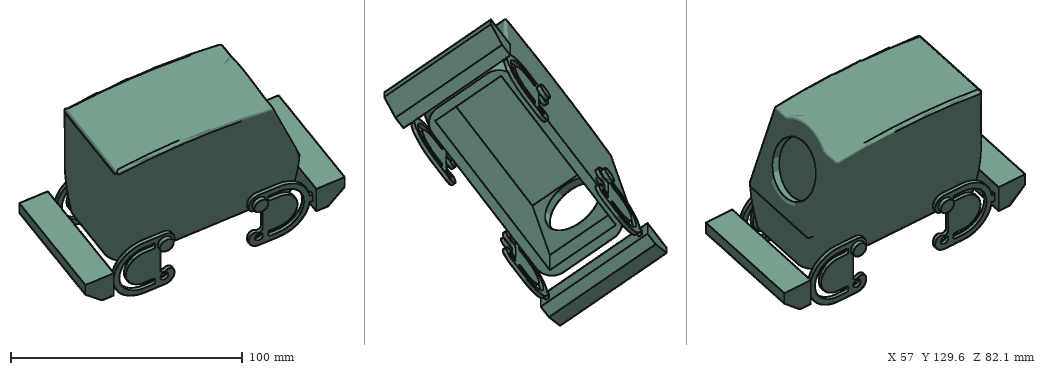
import cadquery as cq
import math


TOP_HALF_WIDTH = 22.8
RIM_HALF_WIDTH = 22.0
BOTTOM_HALF_WIDTH = 21.9
RIM_Z = 6.6
TAPER_Z = 23.5
LOFT_TOP_Z = 64.8
END_Y = 46.5
FRONT_LEAN = 0.5
CORNER_R_TOP = 1.2
CORNER_R_TAPER = 2.1
CORNER_FLARE = 0.01158

CROWN_R = 284.9
CROWN_PEAK_Y = -7.1
CROWN_PEAK_Z = 60.6
EDGE_R = 1.5
FRONT_EDGE_R = 2.0
RIDGE_STEPS = 8
ROOF_OVERHANG = 3.9

WALL = 4.3
CAVITY_Z = 53.7

SLOPE_ANGLE = math.radians(20.5)
ENTRY_Y = 38.7
ENTRY_Z = 40.9
ENTRY_HOLE_R = 14.2
ENTRY_CHAMFER = 1.7
ENTRY_CHAMFER_DEPTH = 0.4
COLLAR_R = 23.2
COLLAR_DEPTH = 11.7
COLLAR_FOOT_R = 1.0
COLLAR_FOOT_Y = 24.6
COLLAR_BASE_Z = 54.4

LEVER_Z = -4.4
LEVER_R = 15.5
LEVER_ARC_Y = 33.5
LEVER_INNER_X = 23.8
LEVER_THICKNESS = 1.8
EYE_Y = 23.6
EYE_R = 5.0
EYE_OFFSET = LEVER_R - EYE_R
EYE_HOLE_R = 2.0
TIP_R = 2.5
TIP_ANGLE = math.radians(29)
NOTCH_R = 1.7
BACK_EDGE_Y = EYE_Y + 2.0
SLOT_OUTER_R = 12.5
SLOT_INNER_R = 9.3
SLOT_END_Y = 28.2
SLOT_END_R = 1.0
PIN_R = 2.0
PIN_START_X = 20.1
PIN_HEAD_R = 3.5
PIN_HEAD_X = 27.7

HANDLE_WIDTH = 57.0
HANDLE_OUTER_Y = 64.8
HANDLE_INNER_Y = 50.5
HANDLE_TOP_Z = 3.5
HANDLE_BOTTOM_Z = -10.4
HANDLE_BEVEL_Y = 8.3
HANDLE_BEVEL_Z = 7.8
NECK_HEIGHT = 4.0


def slope_y(z, inset=0.0):
    """Y of the sloped rear face at height z, moved inward by inset."""
    return ENTRY_Y - (z - ENTRY_Z) * math.tan(SLOPE_ANGLE) - inset / math.cos(SLOPE_ANGLE)


def crown_z(y):
    """Height of the arched roof at y."""
    return CROWN_PEAK_Z - CROWN_R + math.sqrt(CROWN_R**2 - (y - CROWN_PEAK_Y) ** 2)


def front_wall_y(z):
    return -END_Y + FRONT_LEAN * z / LOFT_TOP_Z


def hood_section(z, half_width, corner_r):
    """Rounded rectangular cross-section of the hood walls at height z."""
    front_y = front_wall_y(z)
    return (
        cq.Sketch()
        .push([(0, (END_Y + front_y) / 2)])
        .rect(2 * half_width, END_Y - front_y)
        .reset()
        .vertices()
        .fillet(corner_r)
        .moved(cq.Location(cq.Vector(0, 0, z)))
    )


def taper_section(z):
    """Section between RIM_Z and TAPER_Z, where sides and corners flare."""
    slope = (TOP_HALF_WIDTH - RIM_HALF_WIDTH) / (TAPER_Z - RIM_Z)
    return hood_section(z, RIM_HALF_WIDTH + slope * (z - RIM_Z), flared_corner(z))


def flared_corner(z):
    return CORNER_R_TAPER + CORNER_FLARE * (TAPER_Z - z) ** 2


def loft(*sections):
    return cq.Workplane("XY").placeSketch(*sections).loft()


def hood_walls():
    rim = taper_section(RIM_Z)
    middle = taper_section((RIM_Z + TAPER_Z) / 2)
    shoulder = taper_section(TAPER_Z)
    bottom = hood_section(0, BOTTOM_HALF_WIDTH, flared_corner(0))
    top = hood_section(LOFT_TOP_Z, TOP_HALF_WIDTH, CORNER_R_TOP)
    return loft(bottom, rim).union(loft(rim, middle, shoulder)).union(loft(shoulder, top))


def roof_block():
    """Full-width block bounded by the arched roof, the sloped rear face and the entry collar."""
    front_y = -END_Y - ROOF_OVERHANG
    rear_y = END_Y + ROOF_OVERHANG
    rear_z = ENTRY_Z - (rear_y - ENTRY_Y) / math.tan(SLOPE_ANGLE)
    ridge_z = CROWN_PEAK_Z
    for _ in range(RIDGE_STEPS):
        ridge_z = crown_z(slope_y(ridge_z))
    block = (
        cq.Workplane("YZ")
        .moveTo(front_y, 0)
        .lineTo(front_y, crown_z(front_y))
        .threePointArc((CROWN_PEAK_Y, CROWN_PEAK_Z), (slope_y(ridge_z), ridge_z))
        .lineTo(rear_y, rear_z)
        .lineTo(rear_y, 0)
        .close()
        .extrude(TOP_HALF_WIDTH, both=True)
    )
    block = block.union(collar())
    collar_foot = cq.NearestToPointSelector((0, COLLAR_FOOT_Y, crown_z(COLLAR_FOOT_Y)))
    block = block.edges(collar_foot).fillet(COLLAR_FOOT_R)
    slope_face = block.faces(cq.NearestToPointSelector((0, ENTRY_Y, ENTRY_Z)))
    edges = [edge for edge in slope_face.edges().vals() if edge.Center().z > rear_z + EDGE_R]
    for x in (-TOP_HALF_WIDTH, TOP_HALF_WIDTH):
        crown_side = cq.NearestToPointSelector((x, CROWN_PEAK_Y, CROWN_PEAK_Z))
        edges.append(block.edges(crown_side).val())
    return block.newObject(edges).fillet(EDGE_R)


def front_rounding():
    """Waste outside the rounded edge between the roof and the front wall."""
    wall_y = front_wall_y(crown_z(-END_Y))
    axis_y = wall_y + FRONT_EDGE_R
    crown_axis_z = CROWN_PEAK_Z - CROWN_R
    run = axis_y - CROWN_PEAK_Y
    axis_z = crown_axis_z + math.sqrt((CROWN_R - FRONT_EDGE_R) ** 2 - run**2)
    crown_angle = math.atan2(axis_z - crown_axis_z, run)
    middle_angle = (crown_angle + math.pi) / 2

    def on_edge(angle):
        return (axis_y + FRONT_EDGE_R * math.cos(angle), axis_z + FRONT_EDGE_R * math.sin(angle))

    crown_tangent = on_edge(crown_angle)
    outer_y = wall_y - ROOF_OVERHANG
    outer_z = axis_z + FRONT_EDGE_R + ROOF_OVERHANG
    return (
        cq.Workplane("YZ")
        .moveTo(*on_edge(math.pi))
        .threePointArc(on_edge(middle_angle), crown_tangent)
        .lineTo(crown_tangent[0], outer_z)
        .lineTo(outer_y, outer_z)
        .lineTo(outer_y, axis_z)
        .close()
        .extrude(TOP_HALF_WIDTH, both=True)
    )


def entry_plane():
    """Plane on the sloped face, its normal pointing out of the hood."""
    normal = (0, math.cos(SLOPE_ANGLE), math.sin(SLOPE_ANGLE))
    return cq.Plane(origin=(0, ENTRY_Y, ENTRY_Z), xDir=(1, 0, 0), normal=normal)


def collar():
    """Upper part of a round collar, flush with the sloped face and standing out of the roof."""
    ring = cq.Workplane(entry_plane()).circle(COLLAR_R).extrude(-COLLAR_DEPTH)
    upper_part = (
        cq.Workplane("XY", origin=(0, 0, COLLAR_BASE_Z))
        .rect(2 * TOP_HALF_WIDTH, 2 * END_Y)
        .extrude(COLLAR_R)
    )
    return ring.intersect(upper_part)


def entry_hole():
    bore = cq.Workplane(entry_plane()).circle(ENTRY_HOLE_R).extrude(-2 * WALL)
    countersink = (
        cq.Workplane(entry_plane())
        .circle(ENTRY_HOLE_R + ENTRY_CHAMFER)
        .workplane(offset=-ENTRY_CHAMFER_DEPTH)
        .circle(ENTRY_HOLE_R)
        .loft()
    )
    return bore.union(countersink)


def cavity():
    end_y = END_Y - WALL
    rear_z = ENTRY_Z - (end_y - slope_y(ENTRY_Z, WALL)) / math.tan(SLOPE_ANGLE)
    half_width = BOTTOM_HALF_WIDTH - WALL
    return (
        cq.Workplane("YZ")
        .polyline([
            (-end_y, 0),
            (-end_y, CAVITY_Z),
            (slope_y(CAVITY_Z, WALL), CAVITY_Z),
            (end_y, rear_z),
            (end_y, 0),
        ])
        .close()
        .extrude(half_width, both=True)
    )


def hood():
    body = hood_walls().intersect(roof_block())
    return body.cut(front_rounding()).cut(cavity()).cut(entry_hole())


def between(start, end, distance):
    """Point at the given distance from start on the way to end."""
    share = distance / math.dist(start, end)
    return tuple(a + share * (b - a) for a, b in zip(start, end))


def lever_outline():
    """D-shaped plate with a hooked eye at each end of its straight edge."""
    tip_reach = EYE_R - TIP_R
    eye = (EYE_Y, -EYE_OFFSET)
    tip = (eye[0] - tip_reach * math.cos(TIP_ANGLE), eye[1] + tip_reach * math.sin(TIP_ANGLE))
    notch_y = BACK_EDGE_Y - NOTCH_R
    notch = (notch_y, tip[1] + math.sqrt((TIP_R + NOTCH_R) ** 2 - (notch_y - tip[0]) ** 2))
    eye_bottom = (EYE_Y, -LEVER_R)
    eye_side = between(eye, (eye[0] - 1.3, eye[1] - 1.3), EYE_R)
    eye_end = between(eye, tip, EYE_R)
    tip_top = (tip[0], tip[1] + TIP_R)
    tip_end = between(tip, notch, TIP_R)
    notch_bottom = (notch[0], notch[1] - NOTCH_R)
    notch_end = (BACK_EDGE_Y, notch[1])

    def low(point):
        return (point[0], LEVER_Z + point[1])

    def high(point):
        return (point[0], LEVER_Z - point[1])

    return (
        cq.Workplane("YZ", origin=(LEVER_INNER_X, 0, 0))
        .moveTo(*low((LEVER_ARC_Y, -LEVER_R)))
        .lineTo(*low(eye_bottom))
        .threePointArc(low(eye_side), low(eye_end))
        .threePointArc(low(tip_top), low(tip_end))
        .threePointArc(low(notch_bottom), low(notch_end))
        .lineTo(*high(notch_end))
        .threePointArc(high(notch_bottom), high(tip_end))
        .threePointArc(high(tip_top), high(eye_end))
        .threePointArc(high(eye_side), high(eye_bottom))
        .lineTo(*high((LEVER_ARC_Y, -LEVER_R)))
        .threePointArc((LEVER_ARC_Y + LEVER_R, LEVER_Z), low((LEVER_ARC_Y, -LEVER_R)))
        .close()
    )


def lever_slot():
    """U-shaped slot that follows the rounded edge of the lever."""
    return (
        cq.Workplane("YZ", origin=(LEVER_INNER_X, 0, 0))
        .moveTo(SLOT_END_Y, LEVER_Z + SLOT_OUTER_R)
        .lineTo(LEVER_ARC_Y, LEVER_Z + SLOT_OUTER_R)
        .threePointArc((LEVER_ARC_Y + SLOT_OUTER_R, LEVER_Z), (LEVER_ARC_Y, LEVER_Z - SLOT_OUTER_R))
        .lineTo(SLOT_END_Y, LEVER_Z - SLOT_OUTER_R)
        .lineTo(SLOT_END_Y, LEVER_Z - SLOT_INNER_R)
        .lineTo(LEVER_ARC_Y, LEVER_Z - SLOT_INNER_R)
        .threePointArc((LEVER_ARC_Y + SLOT_INNER_R, LEVER_Z), (LEVER_ARC_Y, LEVER_Z + SLOT_INNER_R))
        .lineTo(SLOT_END_Y, LEVER_Z + SLOT_INNER_R)
        .close()
        .extrude(LEVER_THICKNESS)
        .faces("<Y")
        .edges("|X")
        .fillet(SLOT_END_R)
    )


def lever():
    """Lever on the +X side of the rear handle, with its neck and pivot pin."""
    base = cq.Workplane("YZ", origin=(LEVER_INNER_X, 0, 0))
    eye_hole = base.center(EYE_Y, LEVER_Z - EYE_OFFSET).circle(EYE_HOLE_R).extrude(LEVER_THICKNESS)
    neck_start = LEVER_ARC_Y + (LEVER_R + SLOT_OUTER_R) / 2
    neck_length = HANDLE_INNER_Y - neck_start
    neck = (
        cq.Workplane("YZ", origin=(LEVER_INNER_X, 0, 0))
        .center(neck_start + neck_length / 2, LEVER_Z)
        .rect(neck_length, NECK_HEIGHT)
        .extrude(LEVER_THICKNESS)
    )
    pivot = (EYE_Y, LEVER_Z + EYE_OFFSET)
    pin = (
        cq.Workplane("YZ", origin=(PIN_START_X, 0, 0))
        .center(*pivot)
        .circle(PIN_R)
        .extrude(PIN_HEAD_X - PIN_START_X)
    )
    head_start = LEVER_INNER_X + LEVER_THICKNESS
    head = (
        cq.Workplane("YZ", origin=(head_start, 0, 0))
        .center(*pivot)
        .circle(PIN_HEAD_R)
        .extrude(PIN_HEAD_X - head_start)
    )
    plate = lever_outline().extrude(LEVER_THICKNESS).cut(lever_slot()).cut(eye_hole)
    return plate.union(neck).union(pin).union(head)


def handle():
    """Bar across the rear end with a bevelled lower outer edge."""
    return (
        cq.Workplane("YZ")
        .polyline([
            (HANDLE_INNER_Y, HANDLE_BOTTOM_Z),
            (HANDLE_INNER_Y, HANDLE_TOP_Z),
            (HANDLE_OUTER_Y, HANDLE_TOP_Z),
            (HANDLE_OUTER_Y, HANDLE_BOTTOM_Z + HANDLE_BEVEL_Z),
            (HANDLE_OUTER_Y - HANDLE_BEVEL_Y, HANDLE_BOTTOM_Z),
        ])
        .close()
        .extrude(HANDLE_WIDTH / 2, both=True)
    )


right_lever = lever()
rear_latch = handle().union(right_lever).union(right_lever.mirror("YZ"))
front_latch = rear_latch.mirror("XZ")
result = hood().union(rear_latch).union(front_latch)